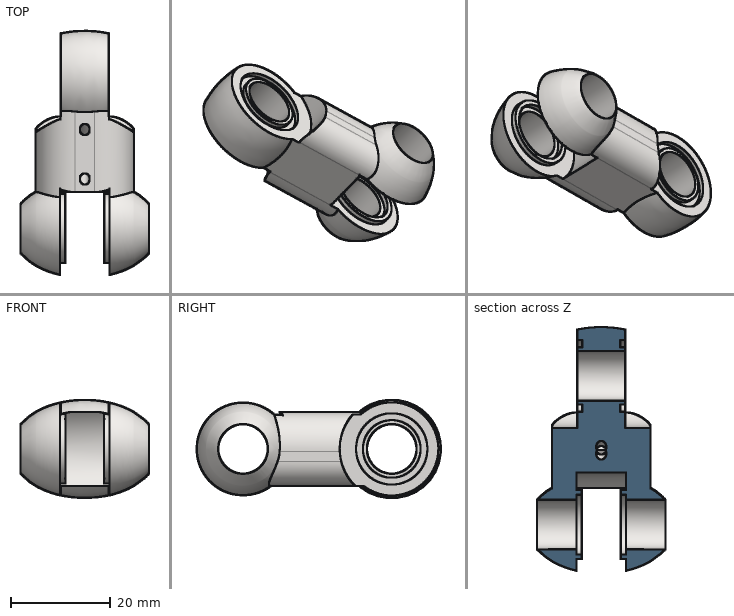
import cadquery as cq
import math

overall_length = 49.35
barrel_diameter = 19.9
barrel_radius = barrel_diameter / 2
barrel_half_length = 15.0
bore_radius = 5.0
body_width = 20.0
body_height = 15.0
top_corner_radius = 8.0
bottom_corner_radius = 5.0
clearance_radius = 10.5
fork_gap = 9.95
eye_width = 9.75

fork_tip_radius = barrel_radius * math.sqrt(1 - (fork_gap / 2 / barrel_half_length) ** 2)
pin_spacing = overall_length - barrel_radius - fork_tip_radius

ring_outer_radius = 7.0
ring_inner_radius = 6.0
ring_height = 1.1
groove_outer_radius = 7.2
groove_inner_radius = 5.85
groove_depth = 1.0

hole_radius = 1.0
hole_tilt = 30
hole_distance = 10.0

hole_pitch = pin_spacing - 2 * hole_distance
hole_length = hole_pitch / 2 / math.sin(math.radians(hole_tilt))

fork_y = 0
eye_y = pin_spacing


def x_cylinder(radius, x_start, x_end, y):
    """Solid cylinder parallel to X, centred at height zero."""
    plane = cq.Workplane("YZ", origin=(x_start, y, 0))
    return plane.circle(radius).extrude(x_end - x_start)


def x_ring(outer_radius, inner_radius, x_start, x_end, y):
    outer = x_cylinder(outer_radius, x_start, x_end, y)
    return outer.cut(x_cylinder(inner_radius, x_start, x_end, y))


def barrel(y):
    """Half ellipse turned about a pin axis."""
    profile = (
        cq.Workplane("XY")
        .moveTo(barrel_half_length, 0)
        .ellipseArc(barrel_half_length, barrel_radius, 0, 180, startAtCurrent=True)
        .close()
    )
    return profile.revolve(360, (0, 0, 0), (1, 0, 0)).translate((0, y, 0))


def make_body():
    """Bar joining the pin axes, with larger rounding on its upper corners."""
    bar = cq.Workplane("XY").box(body_width, pin_spacing, body_height)
    bar = bar.edges("|Y and >Z").fillet(top_corner_radius)
    bar = bar.edges("|Y and <Z").fillet(bottom_corner_radius)
    return bar.translate((0, pin_spacing / 2, 0))


def make_fork(part):
    """Add the fork barrel, open its slot and raise a ring on each inner face."""
    half_gap = fork_gap / 2
    part = part.union(barrel(fork_y))
    part = part.cut(x_cylinder(clearance_radius, -half_gap, half_gap, fork_y))
    tip = half_gap - ring_height
    for start, end in ((-half_gap, -tip), (tip, half_gap)):
        part = part.union(x_ring(ring_outer_radius, ring_inner_radius, start, end, fork_y))
    return part


def make_eye(part):
    """Clear both sides of the eye and cut a groove into each of its faces."""
    half_eye = eye_width / 2
    part = part.union(barrel(eye_y))
    for start, end in ((-barrel_half_length, -half_eye), (half_eye, barrel_half_length)):
        part = part.cut(x_cylinder(clearance_radius, start, end, eye_y))
    floor = half_eye - groove_depth
    for start, end in ((-half_eye, -floor), (floor, half_eye)):
        part = part.cut(x_ring(groove_outer_radius, groove_inner_radius, start, end, eye_y))
    return part


def sloping_hole(y, lean):
    """Blind hole from the top face; lean is +1 or -1, the Y direction it runs towards."""
    angle = math.radians(hole_tilt)
    axis = cq.Vector(0, lean * math.sin(angle), -math.cos(angle))
    mouth = cq.Vector(0, y, body_height / 2)
    overrun = 2 * hole_radius
    start = mouth - axis * overrun
    return cq.Solid.makeCylinder(hole_radius, hole_length + overrun, start, axis)


result = make_eye(make_fork(make_body()))
for pin_y in (fork_y, eye_y):
    result = result.cut(x_cylinder(bore_radius, -barrel_half_length, barrel_half_length, pin_y))
result = result.cut(sloping_hole(fork_y + hole_distance, +1))
result = result.cut(sloping_hole(eye_y - hole_distance, -1))